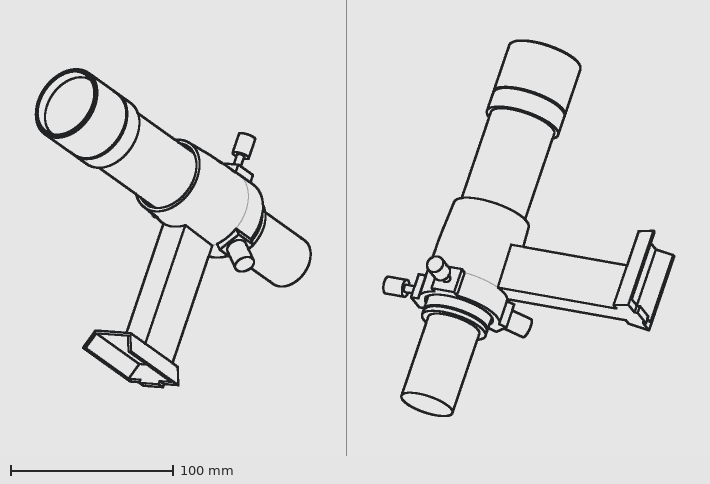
import cadquery as cq
import math

TILT = 37.4

scope_length = 238.6
eyepiece_radius = 16.6
tube_radius = 20.7
head_radius = 23.3
tube_bottom = 54.2
tube_groove_z = 57.8
head_bottom = 193.0
head_groove_z = 206.2
groove_width = 0.6
groove_depth = 0.5
rim_bevel = 0.6
mouth_radius = 21.3
recess_radius = 20.5
recess_depth = 6.6
lens_bulge = 1.3

ring_bottom = 64.7
collar_top = 80.5
ring_top = 130.0
collar_radius = 26.3
ring_top_radius = 24.3
ring_bore_radius = 22.0

pad_width = 15.5
pad_face = 30.3
pad_z = (ring_bottom + collar_top) / 2
screw_angles = (135, 225)
spring_angle = 0
spring_radius = 6.2
spring_end = 45.7

arm_angle = -45
arm_width = 18.0
arm_top = 109.7
foot_back = 106.5
foot_front = 118.7
foot_top = 131.3
foot_back_width = 28.4
foot_front_width = 39.0
foot_wall = 2.0
floor_thickness = 4.7
tongue_width = 15.8
tongue_length = 2.1

stem_radius = 2.3
knob_radius = 5.3
knob_start = 39.5
knob_end = 52.3


def cylinder(radius, bottom, top):
    """Cylinder on the telescope axis."""
    return cq.Workplane("XY").workplane(offset=bottom).circle(radius).extrude(top - bottom)


def radial_cylinder(radius, start, end):
    """Cylinder pointing along +X at the height of the pads."""
    return cq.Workplane("YZ", origin=(start, 0, pad_z)).circle(radius).extrude(end - start)


def turned(shape, angle):
    """Shape swung about the telescope axis."""
    return shape.rotate((0, 0, 0), (0, 0, 1), angle)


def tipped(shape):
    """Shape moved from the working frame to its final orientation."""
    return shape.rotate((0, 0, 0), (1, 0, 0), TILT)


def groove(radius, z):
    """Shallow ring to cut around a cylinder."""
    bottom = z - groove_width / 2
    top = z + groove_width / 2
    return cylinder(radius + groove_depth, bottom, top).cut(cylinder(radius - groove_depth, bottom, top))


def make_telescope():
    lens_edge = scope_length - recess_depth
    profile = (
        cq.Workplane("XZ")
        .moveTo(0, 0)
        .lineTo(eyepiece_radius, 0)
        .lineTo(eyepiece_radius, tube_bottom)
        .lineTo(tube_radius, tube_bottom)
        .lineTo(tube_radius, head_bottom)
        .lineTo(head_radius, head_bottom)
        .lineTo(head_radius, scope_length - rim_bevel)
        .lineTo(head_radius - rim_bevel, scope_length)
        .lineTo(mouth_radius, scope_length)
        .lineTo(recess_radius, lens_edge)
    )
    dome_radius = (recess_radius**2 + lens_bulge**2) / (2 * lens_bulge)
    half_angle = math.asin(recess_radius / dome_radius) / 2
    dome_center = lens_edge + lens_bulge - dome_radius
    dome_mid = (dome_radius * math.sin(half_angle), dome_center + dome_radius * math.cos(half_angle))
    body = profile.threePointArc(dome_mid, (0, lens_edge + lens_bulge)).close().revolve()
    return body.cut(groove(tube_radius, tube_groove_z)).cut(groove(head_radius, head_groove_z))


def make_pad():
    return cq.Workplane("YZ").center(0, pad_z).rect(pad_width, collar_top - ring_bottom).extrude(pad_face)


def make_arm():
    """Bar from the telescope axis into the back plate of the foot."""
    length = foot_back + foot_wall / 2
    bar = cq.Workplane("XY", origin=(0, 0, collar_top))
    return bar.box(length, arm_width, arm_top - collar_top, centered=(False, True, False))


def trapezoid(back, back_half, front, front_half, bottom):
    """Prism from the given height to the top of the foot, wider at the front."""
    corners = [(back, -back_half), (front, -front_half), (front, front_half), (back, back_half)]
    return cq.Workplane("XY").workplane(offset=bottom).polyline(corners).close().extrude(foot_top - bottom)


def make_foot():
    """Tray with a back plate, two flared sides, a floor and a tongue."""
    flare = (foot_front_width - foot_back_width) / 2 / (foot_front - foot_back)
    side_wall = foot_wall * math.hypot(1, flare)
    inner_back = foot_back + foot_wall
    inner_half_back = foot_back_width / 2 + flare * foot_wall - side_wall
    inner_half_front = foot_front_width / 2 - side_wall

    outside = trapezoid(foot_back, foot_back_width / 2, foot_front, foot_front_width / 2, collar_top)
    inside = trapezoid(
        inner_back, inner_half_back, foot_front, inner_half_front, collar_top + floor_thickness
    )
    tongue_reach = foot_front + tongue_length - inner_back
    tongue = cq.Workplane("XY", origin=(inner_back, 0, collar_top)).box(
        tongue_reach, tongue_width, floor_thickness, centered=(False, True, False)
    )
    return outside.cut(inside).union(tongue)


def make_ring():
    """Cylindrical collar that narrows upward along an arc tangent to it."""
    return (
        cq.Workplane("XZ")
        .moveTo(0, ring_bottom)
        .lineTo(collar_radius, ring_bottom)
        .lineTo(collar_radius, collar_top)
        .tangentArcPoint((ring_top_radius, ring_top), relative=False)
        .lineTo(0, ring_top)
        .close()
        .revolve()
    )


def make_bracket():
    bracket = make_ring()
    for angle in (*screw_angles, spring_angle):
        bracket = bracket.union(turned(make_pad(), angle))
    bracket = bracket.union(turned(radial_cylinder(spring_radius, tube_radius, spring_end), spring_angle))
    bracket = bracket.union(turned(make_arm().union(make_foot()), arm_angle))
    bracket = bracket.cut(cylinder(ring_bore_radius, 0, scope_length))
    for angle in screw_angles:
        bracket = bracket.cut(turned(radial_cylinder(stem_radius, tube_radius, spring_end), angle))
    return bracket


def make_thumbscrew(angle):
    """Screw whose stem passes through a pad and rests on the tube."""
    knob = radial_cylinder(knob_radius, knob_start, knob_end)
    stem = radial_cylinder(stem_radius, tube_radius, knob_end)
    return turned(knob.union(stem), angle)


telescope = tipped(make_telescope())
bracket = tipped(make_bracket())
thumbscrews = [tipped(make_thumbscrew(angle)) for angle in screw_angles]

result = cq.Compound.makeCompound(
    [telescope.val(), bracket.val(), *[screw.val() for screw in thumbscrews]]
)